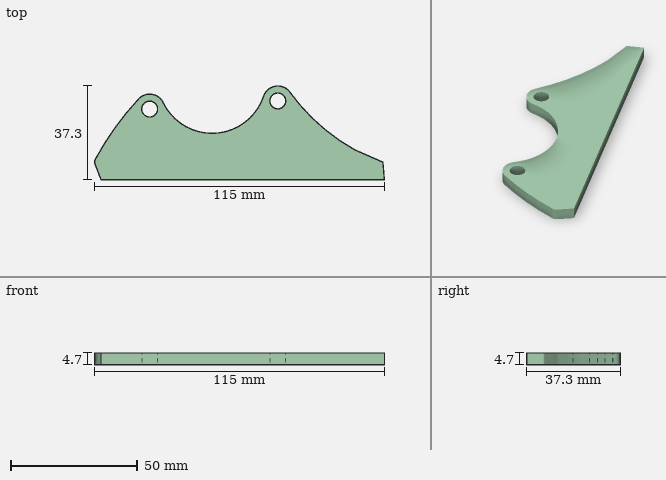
import cadquery as cq
import math

thickness = 4.7
length = 115.0

hole_diameter = 6.2
lug_radius = 6.0
left_lug = (21.8, 28.0)
right_lug = (72.7, 31.3)

scallop_radius = 21.5

left_flank_angle = 139.0
left_flank_middle = (8.3, 20.9)
left_corner = (-0.2, 7.2)
left_corner_radius = 2.3
left_foot = (2.5, 0.0)

right_flank_angle = 40.0
right_flank_middle = (89.3, 21.7)
slope_start = (103.1, 12.0)
slope_end = (114.4, 7.0)
slope_end_radius = 0.7
right_foot = (length, 0.0)


def point_on_lug(center, angle):
    """Point on a lug's rim, at an angle in degrees from +X."""
    return (
        center[0] + lug_radius * math.cos(math.radians(angle)),
        center[1] + lug_radius * math.sin(math.radians(angle)),
    )


span_x = right_lug[0] - left_lug[0]
span_y = right_lug[1] - left_lug[1]
half_span = math.hypot(span_x, span_y) / 2
center_distance = scallop_radius + lug_radius
rise = math.sqrt(center_distance**2 - half_span**2)
span_angle = math.degrees(math.atan2(span_y, span_x))
scallop_tilt = math.degrees(math.atan2(rise, half_span))
scallop_center_x = (left_lug[0] + right_lug[0]) / 2 - rise * span_y / (2 * half_span)
scallop_center_y = (left_lug[1] + right_lug[1]) / 2 + rise * span_x / (2 * half_span)
scallop_bottom = (scallop_center_x, scallop_center_y - scallop_radius)

left_touch_angle = span_angle + scallop_tilt
right_touch_angle = span_angle + 180 - scallop_tilt

plate = (
    cq.Workplane("XY")
    .moveTo(*left_foot)
    .lineTo(*left_corner)
    .threePointArc(left_flank_middle, point_on_lug(left_lug, left_flank_angle))
    .threePointArc(point_on_lug(left_lug, 90), point_on_lug(left_lug, left_touch_angle))
    .threePointArc(scallop_bottom, point_on_lug(right_lug, right_touch_angle))
    .threePointArc(point_on_lug(right_lug, 90), point_on_lug(right_lug, right_flank_angle))
    .threePointArc(right_flank_middle, slope_start)
    .lineTo(*slope_end)
    .lineTo(*right_foot)
    .close()
    .extrude(thickness)
)

for corner, radius in ((left_corner, left_corner_radius), (slope_end, slope_end_radius)):
    corner_edge = cq.selectors.NearestToPointSelector((*corner, thickness / 2))
    plate = plate.edges("|Z").edges(corner_edge).fillet(radius)

holes = (
    cq.Workplane("XY")
    .pushPoints([left_lug, right_lug])
    .circle(hole_diameter / 2)
    .extrude(thickness)
)
result = plate.cut(holes)